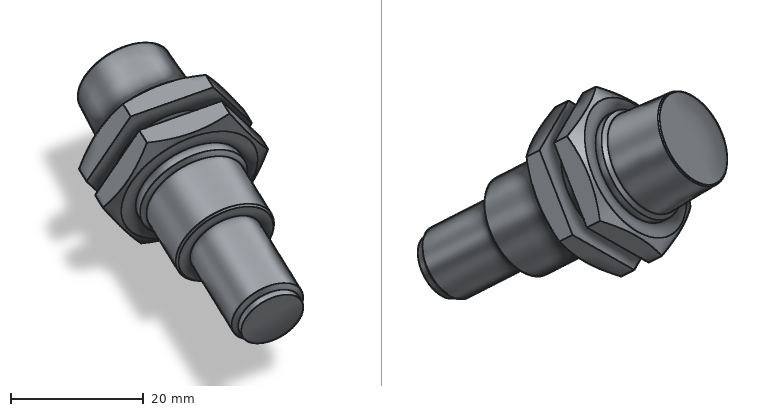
import cadquery as cq
import math

TOTAL_LENGTH = 51.5
CAP_LENGTH = 9.95
THREAD_END = 25.0
BODY_END = 35.45
NECK_LENGTH = 1.1

FACE_DIAMETER = 15.55
CAP_END_DIAMETER = 16.7
BODY_DIAMETER = 16.5
THREAD_DIAMETER = 18.0
STEM_DIAMETER = 12.0
NECK_DIAMETER = 10.4

FACE_CHAMFER = 0.2
BODY_CHAMFER = 0.3
THREAD_CHAMFER_LENGTH = 0.6
STEM_CHAMFER_LENGTH = 0.6

NUT_ACROSS_FLATS = 24.0
NUT_THICKNESS = 4.05
NUT_GAP = 2.95
FIRST_NUT_START = 11.8
NUT_FACE_DIAMETER = 22.85
NUT_CHAMFER_ANGLE = 30.0
NUT_ROTATION = -2.2


def make_sensor():
    """Revolve the stepped barrel around the X axis."""
    face_radius = FACE_DIAMETER / 2
    body_radius = BODY_DIAMETER / 2
    thread_radius = THREAD_DIAMETER / 2
    stem_radius = STEM_DIAMETER / 2
    neck_radius = NECK_DIAMETER / 2
    neck_start = TOTAL_LENGTH - NECK_LENGTH
    outline = [
        (0, 0),
        (0, face_radius - FACE_CHAMFER),
        (FACE_CHAMFER, face_radius),
        (CAP_LENGTH, CAP_END_DIAMETER / 2),
        (CAP_LENGTH + THREAD_CHAMFER_LENGTH, thread_radius),
        (THREAD_END - THREAD_CHAMFER_LENGTH, thread_radius),
        (THREAD_END, body_radius),
        (BODY_END - BODY_CHAMFER, body_radius),
        (BODY_END, body_radius - BODY_CHAMFER),
        (BODY_END, stem_radius),
        (neck_start - STEM_CHAMFER_LENGTH, stem_radius),
        (neck_start, neck_radius),
        (TOTAL_LENGTH, neck_radius),
        (TOTAL_LENGTH, 0),
    ]
    profile = cq.Workplane("XY").polyline(outline).close()
    return profile.revolve(360, (0, 0, 0), (1, 0, 0))


def make_nut():
    """Build a nut from X = 0 with its chamfered face at X = 0."""
    across_corners = NUT_ACROSS_FLATS / math.cos(math.radians(30))
    hexagon = cq.Workplane("YZ").polygon(6, across_corners).extrude(NUT_THICKNESS)
    hexagon = hexagon.rotate((0, 0, 0), (1, 0, 0), NUT_ROTATION)

    face_radius = NUT_FACE_DIAMETER / 2
    cone_growth = NUT_THICKNESS / math.tan(math.radians(NUT_CHAMFER_ANGLE))
    cone = (
        cq.Workplane("XY")
        .polyline([
            (0, 0),
            (0, face_radius),
            (NUT_THICKNESS, face_radius + cone_growth),
            (NUT_THICKNESS, 0),
        ])
        .close()
        .revolve(360, (0, 0, 0), (1, 0, 0))
    )
    return hexagon.intersect(cone)


first_nut = make_nut().translate((FIRST_NUT_START, 0, 0))
nut_pair_middle = FIRST_NUT_START + NUT_THICKNESS + NUT_GAP / 2
second_nut = first_nut.mirror("YZ", (nut_pair_middle, 0, 0))

result = make_sensor().union(first_nut).union(second_nut)